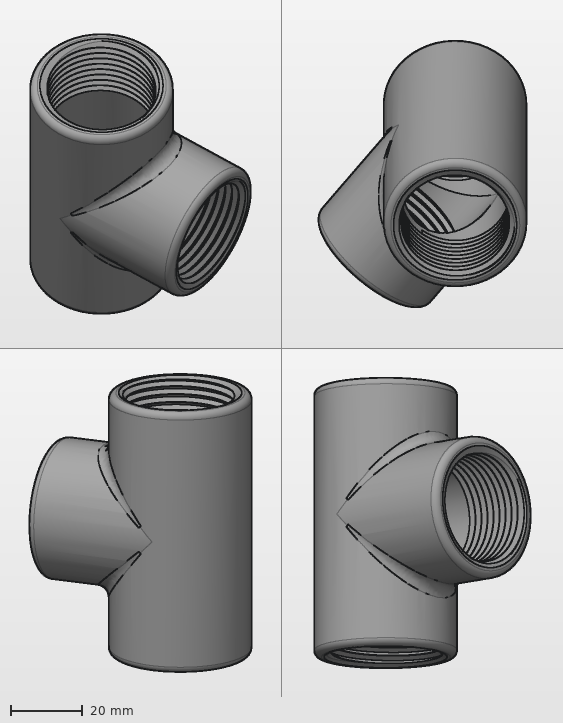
import cadquery as cq
import math

pipe_diameter = 40.0
bore_diameter = 30.3
run_length = 76
rim_fillet = 2.0
crotch_fillet = 3.5
blend_end_angle = 80
blend_steps = 16
blend_burial = 1.4

threads_counted = 11
threads_counted_length = 25.4
thread_pitch = threads_counted_length / threads_counted
thread_depth = 1.45
thread_length = 19.5
groove_width = 2.3
groove_overlap = 0.1
mouth_diameter = 34.4
mouth_depth = 0.9

pipe_radius = pipe_diameter / 2
bore_radius = bore_diameter / 2
socket_reach = run_length / 2


def along_branch(shape):
    """Turn a shape from the +Z axis onto the +X axis."""
    return shape.rotate((0, 0, 0), (0, 1, 0), 90)


def along_lower_run(shape):
    """Turn a shape from the +Z axis onto the -Z axis."""
    return shape.rotate((0, 0, 0), (1, 0, 0), 180)


def blend_section(angle):
    """Section of the crotch blend where the rolling ball sits at this angle round the joint."""
    across = math.cos(math.radians(angle))
    side = math.sin(math.radians(angle))
    offset_radius = pipe_radius + crotch_fillet
    centre = cq.Vector(across, side, across) * offset_radius
    toward_joint = cq.Vector(across, 2 * side, across)
    run_contact = centre - cq.Vector(across, side, 0) * crotch_fillet
    branch_contact = centre - cq.Vector(0, side, across) * crotch_fillet
    arc_middle = centre - toward_joint.normalized() * crotch_fillet
    buried_corner = centre - toward_joint * (crotch_fillet * blend_burial)
    return cq.Wire.assembleEdges([
        cq.Edge.makeThreePointArc(run_contact, arc_middle, branch_contact),
        cq.Edge.makeLine(branch_contact, buried_corner),
        cq.Edge.makeLine(buried_corner, run_contact),
    ])


def make_crotch_blend():
    """Rolling-ball blend above the branch, fading out toward both sides of the tee."""
    last = blend_steps // 2
    step = 2 * blend_end_angle / blend_steps
    sections = [blend_section(step * index) for index in range(-last, last + 1)]
    return cq.Workplane(obj=cq.Solid.makeLoft(sections))


def make_body():
    """Outer tee with rounded rims and a blended crotch."""
    run = cq.Workplane("XY").circle(pipe_radius).extrude(run_length).translate((0, 0, -socket_reach))
    run = run.faces("|Z").edges().fillet(rim_fillet)
    branch = cq.Workplane("XY").circle(pipe_radius).extrude(socket_reach)
    branch = along_branch(branch.faces(">Z").edges().fillet(rim_fillet))
    blend = make_crotch_blend()
    return run.union(branch).union(blend).union(blend.mirror("XY"))


def make_socket_cutter():
    """Bore from the centre up to +Z, opening into a conical mouth."""
    return (
        cq.Workplane("XZ")
        .moveTo(0, 0)
        .lineTo(bore_radius, 0)
        .lineTo(bore_radius, socket_reach - mouth_depth)
        .lineTo(mouth_diameter / 2, socket_reach)
        .lineTo(0, socket_reach)
        .close()
        .revolve(360, (0, 0, 0), (0, 1, 0))
    )


def make_thread_groove():
    """Helical V groove running out through the +Z socket face."""
    inner_radius = bore_radius - groove_overlap
    half_width = groove_width / 2
    groove_length = thread_length + thread_pitch

    def groove_edge(radius, rise):
        """Helix along one edge of the groove, raised from its mid-line."""
        helix = cq.Wire.makeHelix(thread_pitch, groove_length, radius)
        return helix.translate(cq.Vector(0, 0, socket_reach - thread_length + rise))

    lower = groove_edge(inner_radius, -half_width)
    root = groove_edge(bore_radius + thread_depth, 0)
    upper = groove_edge(inner_radius, half_width)
    sides = [
        cq.Face.makeRuledSurface(first, second)
        for first, second in ((lower, root), (root, upper), (upper, lower))
    ]
    ends = []
    for place in (0, 1):
        corners = [edge.positionAt(place) for edge in (lower, root, upper)]
        ends.append(cq.Face.makeFromWires(cq.Wire.makePolygon(corners, close=True)))
    shell = cq.Shell.makeShell([face for side in sides for face in side.Faces()] + ends)
    return cq.Workplane(obj=cq.Solid.makeSolid(shell))


socket = make_socket_cutter()
groove = make_thread_groove()

result = make_body()
result = result.cut(socket).cut(along_lower_run(socket)).cut(along_branch(socket))
result = result.cut(groove).cut(along_lower_run(groove)).cut(along_branch(groove)).solids()